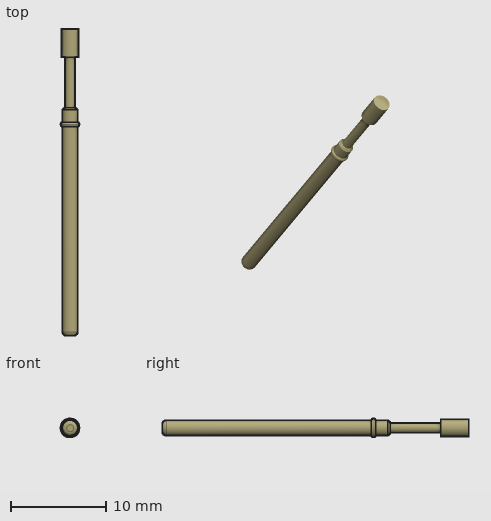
import cadquery as cq

total_length = 32.3
head_diameter = 1.85
plunger_diameter = 1.05
barrel_diameter = 1.65
ring_diameter = 2.0

head_length = 2.97
barrel_start = 8.3
ring_center = 10.05

mouth_length = 0.23
mouth_depth = 0.2
ring_section_radius = 0.25
tail_radius = 0.45

head_face_y = total_length / 2
tail_face_y = -total_length / 2


def cylinder(diameter, y_start, y_end):
    """Solid cylinder about the Y axis from y_start down to y_end."""
    return cq.Workplane("XZ", origin=(0, y_start, 0)).circle(diameter / 2).extrude(y_start - y_end)


def make_barrel():
    """Barrel with a tapered mouth and a rounded tail."""
    barrel = cylinder(barrel_diameter, head_face_y - barrel_start, tail_face_y)
    barrel = barrel.faces(">Y").chamfer(mouth_length, mouth_depth)
    return barrel.faces("<Y").edges().fillet(tail_radius)


def make_ring():
    """Raised round bead around the barrel."""
    section_center = ring_diameter / 2 - ring_section_radius
    ring_y = head_face_y - ring_center
    section = cq.Workplane("XY").center(section_center, ring_y).circle(ring_section_radius)
    return section.revolve(360, (-section_center, 0), (-section_center, 1))


head = cylinder(head_diameter, head_face_y, head_face_y - head_length)
plunger = cylinder(plunger_diameter, head_face_y - head_length, head_face_y - barrel_start)

result = make_barrel().union(make_ring()).union(plunger).union(head)